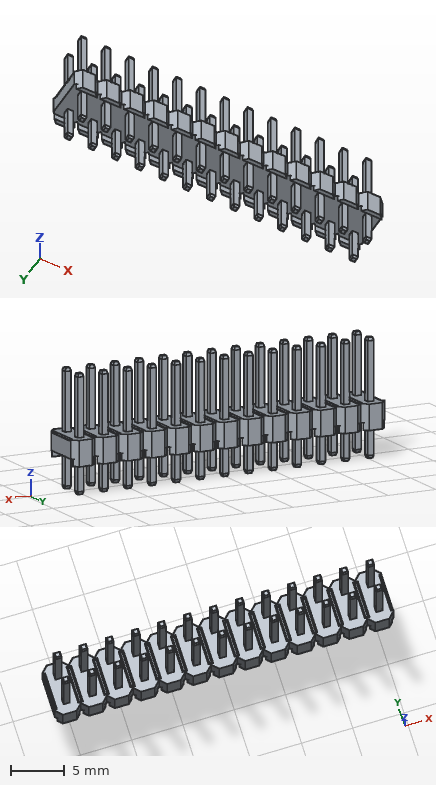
import cadquery as cq

columns = 13
rows = 2
body_length = 33.02
pitch = body_length / columns
body_width = rows * pitch
body_height = pitch
corner_cut = 0.6

foot_height = 0.7
foot_thickness = 0.43

groove_width = 0.45
groove_depth = 0.13
groove_wall_angle = 45
groove_inset = 0.1
groove_length = body_width - 2 * (corner_cut + groove_inset)

pin_side = 0.63
tip_side = 0.43
tip_length = 0.3
pin_below = 2.95
overall_height = 11.6
pin_top = overall_height - pin_below


def column_x(index):
    """X position of a pin column, counted from the -X end."""
    return (index - (columns - 1) / 2) * pitch


def make_segment():
    """One octagonal segment, standing on Z = 0."""
    return (
        cq.Workplane("XY")
        .rect(pitch, body_width)
        .extrude(body_height)
        .edges("|Z")
        .chamfer(corner_cut)
    )


def make_groove_cutter():
    """Block that narrows downward from the top face, centred on X = 0."""
    return (
        cq.Workplane("XY", origin=(0, 0, body_height))
        .rect(groove_width, groove_length)
        .extrude(-groove_depth, taper=groove_wall_angle)
    )


def make_tip(base_z, direction):
    """Tapered pin end that narrows away from base_z; direction is +1 or -1."""
    return (
        cq.Workplane("XY", origin=(0, 0, base_z))
        .rect(pin_side, pin_side)
        .workplane(offset=direction * tip_length)
        .rect(tip_side, tip_side)
        .loft()
    )


def make_pin():
    """Square pin running through the insulator, tapered at both ends."""
    shank_bottom = tip_length - pin_below
    shank_top = pin_top - tip_length
    shank = (
        cq.Workplane("XY", origin=(0, 0, shank_bottom))
        .rect(pin_side, pin_side)
        .extrude(shank_top - shank_bottom)
    )
    return shank.union(make_tip(shank_top, 1)).union(make_tip(shank_bottom, -1))


segment = make_segment()
body = segment.translate((column_x(0), 0, 0))
for column in range(1, columns):
    body = body.union(segment.translate((column_x(column), 0, 0)))

channel = cq.Workplane("XY").rect(body_length, body_width - 2 * foot_thickness).extrude(foot_height)
body = body.cut(channel)

groove_cutter = make_groove_cutter()
for boundary in range(columns + 1):
    body = body.cut(groove_cutter.translate((boundary * pitch - body_length / 2, 0, 0)))

pin = make_pin()
result = body
for column in range(columns):
    for row in range(rows):
        pin_y = (row - (rows - 1) / 2) * pitch
        result = result.union(pin.translate((column_x(column), pin_y, 0)))